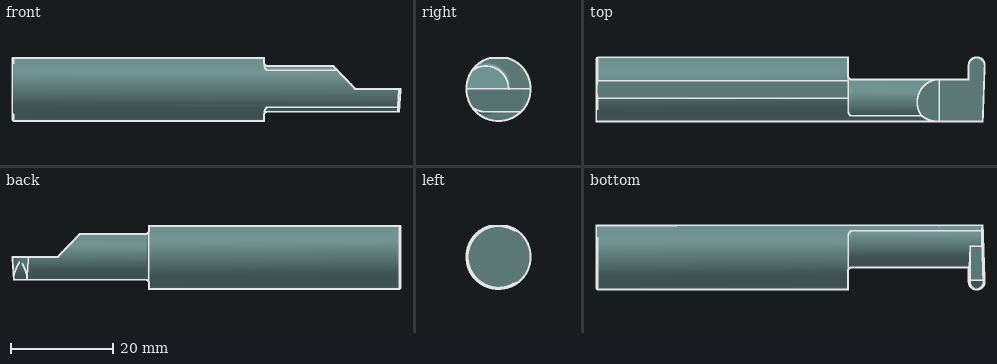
import cadquery as cq
import math

total_length = 76.2
shank_length = 49.4
shank_radius = 6.3
total_height = 12.4
rear_chamfer = 0.3

neck_radius = 4.5
neck_side_y = 2.0
neck_axis_y = neck_side_y - neck_radius
shoulder_fillet = 0.7

rake_z = 0.0
rake_start_x = 67.3
ramp_angle = 46.0
tooth_width = 3.2
tooth_tip_radius = tooth_width / 2
tooth_tip_y = shank_radius
end_angle = 2.0
relief_angle = 4.0


def cylinder_along_x(radius, length, center_y=0.0):
    return cq.Workplane("YZ").center(center_y, 0).circle(radius).extrude(length)


def make_shank():
    flat_z = total_height - shank_radius
    shank = cylinder_along_x(shank_radius, shank_length).faces("<X").chamfer(rear_chamfer)
    flat_cut = cq.Workplane("XY").box(
        shank_length, 2 * shank_radius, shank_radius, centered=(False, True, False)
    )
    return shank.cut(flat_cut.translate((0, 0, flat_z)))


def make_neck():
    """Neck with a concave fillet where it meets the shoulder."""
    fillet_end_x = shank_length + shoulder_fillet
    fillet_rim = neck_radius + shoulder_fillet
    arc_reach = shoulder_fillet * (1 - math.sqrt(0.5))
    return (
        cq.Workplane("XY")
        .moveTo(0, neck_axis_y)
        .lineTo(0, neck_axis_y + fillet_rim)
        .lineTo(shank_length, neck_axis_y + fillet_rim)
        .threePointArc(
            (shank_length + arc_reach, neck_axis_y + neck_radius + arc_reach),
            (fillet_end_x, neck_axis_y + neck_radius),
        )
        .lineTo(total_length, neck_axis_y + neck_radius)
        .lineTo(total_length, neck_axis_y)
        .close()
        .revolve(360, (0, neck_axis_y, 0), (1, neck_axis_y, 0))
        .intersect(cylinder_along_x(shank_radius, total_length))
    )


def make_tooth():
    """Round-ended tooth reaching out to the shank radius."""
    tooth_rear_x = total_length - tooth_width
    round_start_y = tooth_tip_y - tooth_tip_radius
    tooth = (
        cq.Workplane("XY")
        .workplane(offset=rake_z)
        .moveTo(tooth_rear_x, neck_axis_y)
        .lineTo(total_length, neck_axis_y)
        .lineTo(total_length, round_start_y)
        .threePointArc((total_length - tooth_tip_radius, tooth_tip_y), (tooth_rear_x, round_start_y))
        .close()
        .extrude(-neck_radius, taper=relief_angle)
    )
    return tooth.intersect(cylinder_along_x(shank_radius, total_length))


def make_ramp_cut():
    """Space above the rake face and its sloping run-out."""
    cut_height = 2 * neck_radius
    ramp_length = cut_height / math.tan(math.radians(ramp_angle))
    return (
        cq.Workplane("XZ")
        .moveTo(rake_start_x, rake_z)
        .lineTo(total_length, rake_z)
        .lineTo(total_length, rake_z + cut_height)
        .lineTo(rake_start_x - ramp_length, rake_z + cut_height)
        .close()
        .extrude(shank_radius, both=True)
    )


def make_end_cut():
    """Leans the front end back towards -Y and towards -Z."""
    cutter_size = 4 * shank_radius
    return (
        cq.Workplane("XY")
        .box(cutter_size, cutter_size, cutter_size, centered=(False, True, True))
        .rotate((0, 0, 0), (0, 1, 0), relief_angle)
        .rotate((0, 0, 0), (0, 0, 1), -end_angle)
        .translate((total_length, tooth_tip_y - tooth_tip_radius, rake_z))
    )


head = make_neck().union(make_tooth()).cut(make_ramp_cut()).cut(make_end_cut())
result = make_shank().union(head)